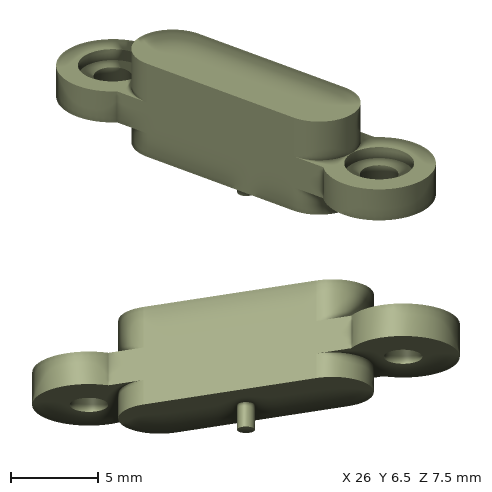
import cadquery as cq

overall_length = 26.0
ear_diameter = 6.5
hole_spacing = overall_length - ear_diameter
ear_centres = [(side * hole_spacing / 2, 0) for side in (-1, 1)]
hole_diameter = 2.2
counterbore_diameter = 4.0
counterbore_depth = 0.7
plate_thickness = 2.0

body_length = 15.46
body_width = 4.75
body_height = 6.0
plate_bottom = 1.5
plate_top = plate_bottom + plate_thickness

pin_diameter = 1.01
pin_length = 1.5


def make_plate():
    """Strap as wide as the body, with a round ear at each end."""
    strap = cq.Workplane("XY").workplane(offset=plate_bottom).rect(hole_spacing, body_width)
    ears = (
        cq.Workplane("XY")
        .workplane(offset=plate_bottom)
        .pushPoints(ear_centres)
        .circle(ear_diameter / 2)
        .extrude(plate_thickness)
    )
    return strap.extrude(plate_thickness).union(ears)


def cut_screw_holes(plate):
    """Counterbored through hole in the middle of each ear."""
    return (
        plate.copyWorkplane(cq.Workplane("XY", origin=(0, 0, plate_top)))
        .pushPoints(ear_centres)
        .cboreHole(hole_diameter, counterbore_diameter, counterbore_depth)
    )


plate = cut_screw_holes(make_plate())
body = cq.Workplane("XY").slot2D(body_length, body_width).extrude(body_height)
pin = cq.Workplane("XY").circle(pin_diameter / 2).extrude(-pin_length)

result = body.union(plate).union(pin)